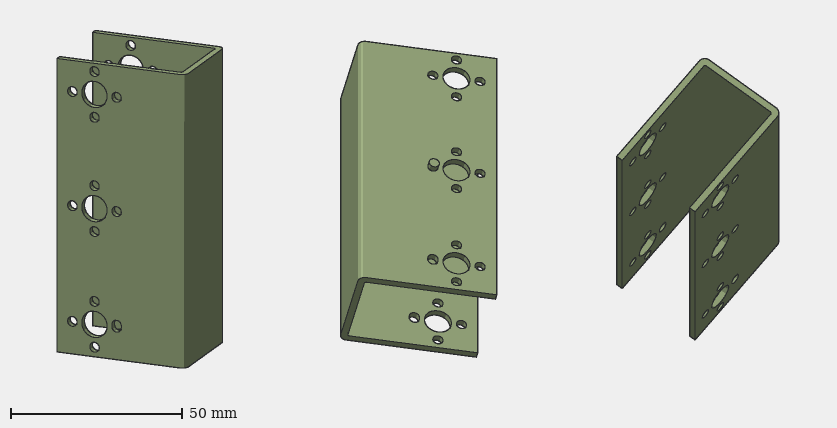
import cadquery as cq

channel_length = 41.0
channel_width = 29.0
channel_height = 90.0
sheet = 2.1
front_setback = 0.2
inner_bend_radius = 0.5
outer_bend_radius = 2.1

group_x = 12.1
bottom_group_z = 10.0
middle_group_z = 45.45
top_group_z = 80.5
bore_diameter = 8.0
small_diameter = 3.0
small_offset = 7.0
slot_stretch = 0.6

pin_diameter = 3.1
pin_length = 2.0


def y_cylinder(x, z, diameter, y_start, length):
    """Cylinder running towards +Y from y_start."""
    axis_start = cq.Vector(x, y_start, z)
    solid = cq.Solid.makeCylinder(diameter / 2, length, axis_start, cq.Vector(0, 1, 0))
    return cq.Workplane(obj=solid)


def make_sheet():
    outer = (
        cq.Workplane("XY")
        .box(channel_length, channel_width, channel_height, centered=False)
        .edges("|Z and >X")
        .fillet(outer_bend_radius)
    )
    inside = (
        cq.Workplane("XY")
        .box(channel_length - sheet, channel_width - 2 * sheet, channel_height, centered=False)
        .edges("|Z and >X")
        .fillet(inner_bend_radius)
        .translate((0, sheet, 0))
    )
    front_trim = cq.Workplane("XY").box(front_setback, sheet, channel_height, centered=False)
    return outer.cut(inside).cut(front_trim)


def through_hole(x, z, diameter):
    return y_cylinder(x, z, diameter, 0, channel_width)


def cut_hole_group(body, z):
    body = body.cut(through_hole(group_x, z, bore_diameter))
    for side in (-1, 1):
        body = body.cut(through_hole(group_x + side * small_offset, z, small_diameter))
        body = body.cut(through_hole(group_x, z + side * small_offset, small_diameter))
    return body


def cut_slot(body):
    """Stretch the +X small hole of the lowest group upwards into a slot."""
    slot_x = group_x + small_offset
    slot_z = bottom_group_z
    straight_part = cq.Workplane("XY").box(
        small_diameter, channel_width, slot_stretch, centered=(True, False, False)
    ).translate((slot_x, 0, slot_z))
    upper_end = through_hole(slot_x, slot_z + slot_stretch, small_diameter)
    return body.cut(straight_part).cut(upper_end)


def make_channel():
    body = make_sheet()
    for z in (bottom_group_z, middle_group_z, top_group_z):
        body = cut_hole_group(body, z)
    return cut_slot(body)


def make_pin():
    """Pin standing over the +X small hole of the middle group."""
    return y_cylinder(group_x + small_offset, middle_group_z, pin_diameter, channel_width, pin_length)


channel = make_channel()
pin = make_pin()

result = cq.Compound.makeCompound([channel.val(), pin.val()])